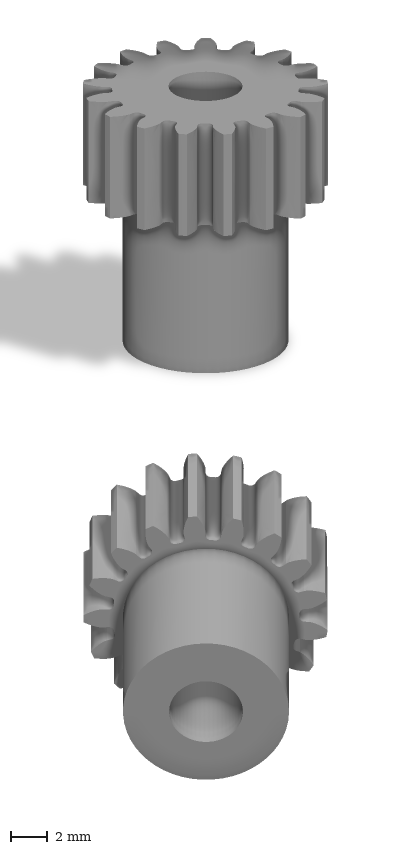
import cadquery as cq
import math

total_height = 15.0
gear_width = 6.0
hub_height = total_height - gear_width
hub_diameter = 9.0
bore_diameter = 4.0

teeth = 17
tip_diameter = 13.3
pressure_angle = math.radians(20)
first_tooth_angle = -90.0
root_fillet = 0.28
involute_points = 6

tip_radius = tip_diameter / 2
module = tip_diameter / (teeth + 2)
pitch_radius = module * teeth / 2
base_radius = pitch_radius * math.cos(pressure_angle)
dedendum = 1.25 * module
root_radius = pitch_radius - dedendum
tooth_pitch_angle = 360.0 / teeth


def roll_at(radius):
    """Roll parameter (tangent of the local pressure angle) of the involute at a radius."""
    return math.sqrt((radius / base_radius) ** 2 - 1)


def involute_angle(roll):
    """Polar angle swept by the involute from the base circle out to a roll parameter."""
    return roll - math.atan(roll)


def polar(radius, angle):
    return (radius * math.cos(angle), radius * math.sin(angle))


def mirrored(point):
    return (point[0], -point[1])


def tooth():
    """One tooth along +X: radial roots, involute flanks and a round tip land."""
    base_half_angle = math.pi / (2 * teeth) + involute_angle(roll_at(pitch_radius))
    tip_roll = roll_at(tip_radius)

    flank = []
    for i in range(involute_points):
        roll = tip_roll * i / (involute_points - 1)
        radius = base_radius * math.sqrt(1 + roll**2)
        flank.append(polar(radius, base_half_angle - involute_angle(roll)))
    opposite_flank = [mirrored(point) for point in reversed(flank)]

    root = polar(root_radius, base_half_angle)
    return (
        cq.Workplane("XY", origin=(0, 0, hub_height))
        .lineTo(*root)
        .lineTo(*flank[0])
        .spline(flank[1:], includeCurrent=True)
        .threePointArc((tip_radius, 0), opposite_flank[0])
        .spline(opposite_flank[1:], includeCurrent=True)
        .lineTo(*mirrored(root))
        .close()
        .extrude(gear_width)
    )


def is_root_corner(edge):
    """True for an upright edge where a tooth flank meets the root cylinder."""
    center = edge.Center()
    tolerance = 0.002
    return abs(math.hypot(center.x, center.y) - root_radius) < tolerance


gear = cq.Workplane("XY", origin=(0, 0, hub_height)).circle(root_radius).extrude(gear_width)
single_tooth = tooth()
for i in range(teeth):
    angle = first_tooth_angle + i * tooth_pitch_angle
    gear = gear.union(single_tooth.rotate((0, 0, 0), (0, 0, 1), angle))
gear = gear.edges("|Z").filter(is_root_corner).fillet(root_fillet)

hub = cq.Workplane("XY").circle(hub_diameter / 2).extrude(hub_height)
bore = cq.Workplane("XY").circle(bore_diameter / 2).extrude(total_height)
result = gear.union(hub).cut(bore)